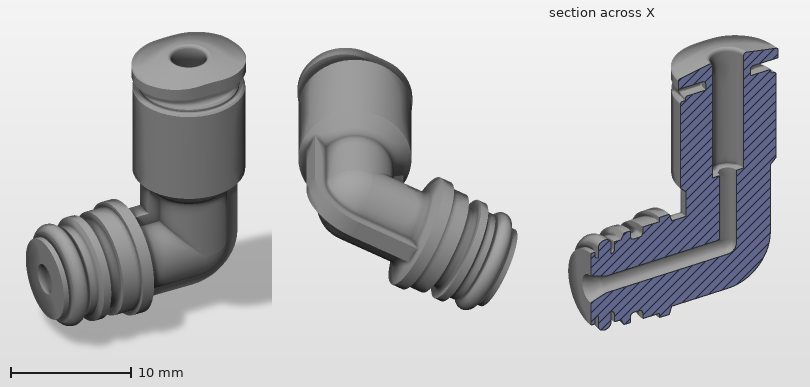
import cadquery as cq
import math


overall_height = 23.07
overall_length = 18.3

tube_radius = 6.4 / 2
bore_radius = 1.6 / 2
web_reach = 4.15
web_width = 1.5
web_embed = 0.23

flange_radius = 9.75 / 2

body_radius = 9.4 / 2
body_bottom = 7.05
cone_bottom = body_bottom - (body_radius - tube_radius)
body_top = 15.39
collar_radius = 8.4 / 2
collar_top = 15.78
edge_chamfer = 0.15

neck_radius = 4.4 / 2
neck_fillet = 0.28
button_bottom = 16.63
button_top = overall_height - flange_radius
button_width = 7.8
button_length = 9.75
button_rim_radius = 4.75
button_rim_height = 17.65
button_rim_chamfer = button_length / 2 - button_rim_radius
tube_entry_radius = 3 / 2
entry_fillet = 0.3
entry_floor = body_bottom

flange_start = 5.72
flange_end = 6.74
root_fillet_start = 4.8
root_fillet_end = 5.25
root_fillet_radius = 3.5
land_radius = 8.93 / 2
clip_groove_radius = 7.15 / 2
clip_groove_start = 8.35
clip_groove_end = 9.5
clip_groove_fillet = 0.3
land_chamfer_start = 10.17
land_chamfer_end = 10.45
step_radius = 7.8 / 2
step_end = 11.12
seal_groove_radius = 5.65 / 2
seal_groove_fillet = 0.3
end_disc_radius = 7.0 / 2
end_disc_start = 12.97
plug_end = overall_length - button_length / 2
seal_radius = 4.38
seal_width = 1.3
seal_shoulder_radius = 7.8 / 2
seal_center = (step_end + end_disc_start) / 2
mouth_radius = 2.6 / 2
mouth_taper_length = 1.5


def revolve_about_z(profile):
    return profile.close().revolve(360, (0, 0, 0), (0, 1, 0))


def lay_along_plug_axis(solid):
    return solid.rotate((0, 0, 0), (1, 0, 0), 90)


def fillet_arc(profile, start, end, center):
    """Add a quarter arc from start to end about center."""
    radius = math.dist(start, center)
    dx = (start[0] + end[0]) / 2 - center[0]
    dy = (start[1] + end[1]) / 2 - center[1]
    scale = radius / math.hypot(dx, dy)
    return profile.threePointArc((center[0] + dx * scale, center[1] + dy * scale), end)


def round_groove(profile, radius, start, end, fillet):
    """Add a groove floor with a concave fillet at both side walls."""
    outer = radius + fillet
    profile = profile.lineTo(outer, start)
    profile = fillet_arc(profile, (outer, start), (radius, start + fillet), (outer, start + fillet))
    profile = profile.lineTo(radius, end - fillet)
    return fillet_arc(profile, (radius, end - fillet), (outer, end), (outer, end - fillet))


def make_socket():
    return revolve_about_z(
        cq.Workplane("XZ")
        .lineTo(tube_radius, 0)
        .lineTo(tube_radius, cone_bottom)
        .lineTo(body_radius, body_bottom)
        .lineTo(body_radius, body_top - edge_chamfer)
        .lineTo(body_radius - edge_chamfer, body_top)
        .lineTo(collar_radius, body_top)
        .lineTo(collar_radius, collar_top - edge_chamfer)
        .lineTo(collar_radius - edge_chamfer, collar_top)
        .lineTo(0, collar_top)
    )


def make_button():
    head = revolve_about_z(
        cq.Workplane("XZ")
        .moveTo(0, button_bottom)
        .lineTo(button_length / 2, button_bottom)
        .lineTo(button_length / 2, button_rim_height - button_rim_chamfer)
        .lineTo(button_rim_radius, button_rim_height)
        .lineTo(tube_entry_radius + entry_fillet, button_top)
        .lineTo(0, button_top)
    )
    oblong = (
        cq.Workplane("XY")
        .workplane(offset=button_bottom)
        .slot2D(button_length, button_width, 90)
        .extrude(button_top - button_bottom)
    )
    neck_outline = (
        cq.Workplane("XZ")
        .moveTo(0, collar_top)
        .lineTo(neck_radius, collar_top)
        .lineTo(neck_radius, button_bottom - neck_fillet)
    )
    flare = neck_radius + neck_fillet
    neck_outline = fillet_arc(
        neck_outline,
        (neck_radius, button_bottom - neck_fillet),
        (flare, button_bottom),
        (flare, button_bottom - neck_fillet),
    )
    neck = revolve_about_z(neck_outline.lineTo(0, button_bottom))
    return head.intersect(oblong).union(neck)


def make_plug():
    outline = (
        cq.Workplane("XZ")
        .lineTo(tube_radius, 0)
        .lineTo(tube_radius, root_fillet_start)
        .tangentArcPoint((root_fillet_radius, root_fillet_end), relative=False)
        .lineTo(flange_radius, flange_start)
        .lineTo(flange_radius, flange_end)
        .lineTo(land_radius, flange_end)
        .lineTo(land_radius, clip_groove_start)
    )
    outline = round_groove(
        outline, clip_groove_radius, clip_groove_start, clip_groove_end, clip_groove_fillet
    )
    outline = (
        outline.lineTo(land_radius, clip_groove_end)
        .lineTo(land_radius, land_chamfer_start)
        .lineTo(step_radius, land_chamfer_end)
        .lineTo(step_radius, step_end)
    )
    outline = round_groove(
        outline, seal_groove_radius, step_end, end_disc_start, seal_groove_fillet
    )
    outline = (
        outline.lineTo(end_disc_radius, end_disc_start)
        .lineTo(end_disc_radius, plug_end)
        .lineTo(0, plug_end)
    )
    return lay_along_plug_axis(revolve_about_z(outline))


def make_seal():
    """O-ring seated on the groove floor, with a domed outer face."""
    start = seal_center - seal_width / 2
    end = seal_center + seal_width / 2
    outline = (
        cq.Workplane("XZ")
        .moveTo(seal_groove_radius, start)
        .lineTo(seal_shoulder_radius, start)
        .threePointArc((seal_radius, seal_center), (seal_shoulder_radius, end))
        .lineTo(seal_groove_radius, end)
    )
    return lay_along_plug_axis(revolve_about_z(outline))


def make_web():
    """Flat web in the plane of both axes, rounded at the outside of the bend."""
    web_top = body_bottom - web_embed
    web_end = flange_start + web_embed
    diagonal = web_reach * math.sqrt(0.5)
    return (
        cq.Workplane("YZ")
        .moveTo(web_reach, web_top)
        .lineTo(web_reach, 0)
        .threePointArc((diagonal, -diagonal), (0, -web_reach))
        .lineTo(-web_end, -web_reach)
        .lineTo(-web_end, web_reach)
        .lineTo(-web_reach, web_reach)
        .lineTo(-web_reach, web_top)
        .close()
        .extrude(web_width / 2, both=True)
    )


def make_socket_bore():
    entry_outer = tube_entry_radius + entry_fillet
    outline = (
        cq.Workplane("XZ")
        .lineTo(bore_radius, 0)
        .lineTo(bore_radius, entry_floor)
        .lineTo(tube_entry_radius, entry_floor)
        .lineTo(tube_entry_radius, button_top - entry_fillet)
    )
    outline = fillet_arc(
        outline,
        (tube_entry_radius, button_top - entry_fillet),
        (entry_outer, button_top),
        (entry_outer, button_top - entry_fillet),
    )
    return revolve_about_z(outline.lineTo(0, button_top))


def make_plug_bore():
    """Bore that widens as a taper towards the plug mouth."""
    outline = (
        cq.Workplane("XZ")
        .lineTo(bore_radius, 0)
        .lineTo(bore_radius, plug_end - mouth_taper_length)
        .lineTo(mouth_radius, plug_end)
        .lineTo(0, plug_end)
    )
    return lay_along_plug_axis(revolve_about_z(outline))


body = make_socket().union(make_plug()).union(cq.Workplane("XY").sphere(tube_radius))
body = body.union(make_web()).union(make_button()).union(make_seal())
bores = make_socket_bore().union(make_plug_bore()).union(cq.Workplane("XY").sphere(bore_radius))
result = body.cut(bores)